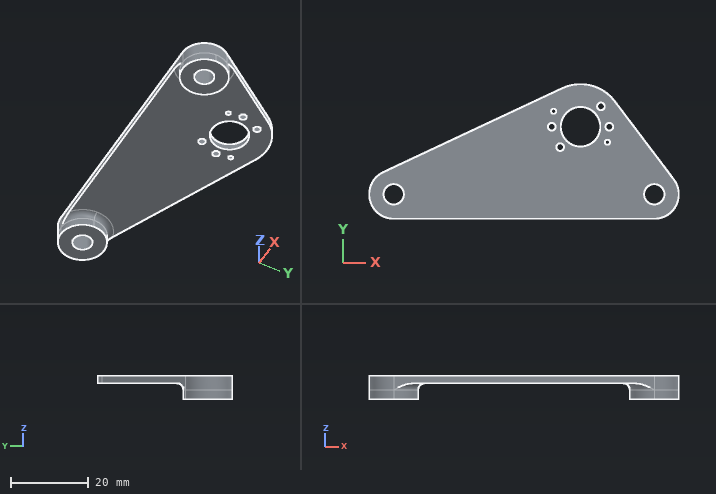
import cadquery as cq
import math

length = 80.0
height = 6.1
plate_thickness = 2.0
boss_diameter = 12.7
boss_bore = 5.2
fillet_radius = 1.6

hub_from_left_boss = 48.2
hub_rise = 17.4
hub_corner_radius = 11.0
hub_bore = 10.15

screw_diameter = 1.9
screw_circle_radius = 7.4
screw_angles = (0, 45, 180, 225)
pin_diameter = 1.3
pin_circle_radius = 8.0
pin_angles = (150, 330)

boss_radius = boss_diameter / 2
boss_x = length / 2 - boss_radius
left_boss = (-boss_x, 0)
right_boss = (boss_x, 0)
hub = (hub_from_left_boss - boss_x, hub_rise)
plate_bottom = height - plate_thickness


def polar_point(center, radius, angle):
    """Point at a given radius and angle (radians) from a centre."""
    return (center[0] + radius * math.cos(angle), center[1] + radius * math.sin(angle))


def tangent_normal(start, start_radius, end, end_radius):
    """Angle of the normal to the line touching the left side of two circles."""
    dx = end[0] - start[0]
    dy = end[1] - start[1]
    taper = math.asin((end_radius - start_radius) / math.hypot(dx, dy))
    return math.atan2(dy, dx) + math.pi / 2 + taper


def outline_prism():
    """Rounded triangle over the full height of the part."""
    left_normal = tangent_normal(left_boss, boss_radius, hub, hub_corner_radius)
    right_normal = tangent_normal(hub, hub_corner_radius, right_boss, boss_radius)
    return (
        cq.Workplane("XY")
        .moveTo(-boss_x, -boss_radius)
        .threePointArc((-boss_x - boss_radius, 0), polar_point(left_boss, boss_radius, left_normal))
        .lineTo(*polar_point(hub, hub_corner_radius, left_normal))
        .threePointArc(
            polar_point(hub, hub_corner_radius, (left_normal + right_normal) / 2),
            polar_point(hub, hub_corner_radius, right_normal),
        )
        .lineTo(*polar_point(right_boss, boss_radius, right_normal))
        .threePointArc((boss_x + boss_radius, 0), (boss_x, -boss_radius))
        .close()
        .extrude(height)
    )


def filleted_boss(center):
    """Round boss that flares into the underside of the plate."""
    flare_start = plate_bottom - fillet_radius
    flare_radius = boss_radius + fillet_radius
    arc_offset = fillet_radius * math.sqrt(0.5)
    return (
        cq.Workplane("XZ")
        .lineTo(boss_radius, 0)
        .lineTo(boss_radius, flare_start)
        .threePointArc(
            (flare_radius - arc_offset, flare_start + arc_offset),
            (flare_radius, plate_bottom),
        )
        .lineTo(flare_radius, height)
        .lineTo(0, height)
        .close()
        .revolve(360, (0, 0, 0), (0, 1, 0))
        .translate((center[0], center[1], 0))
    )


def drill(points, diameter):
    """Cutters for holes through the full height."""
    return cq.Workplane("XY").pushPoints(points).circle(diameter / 2).extrude(height)


def hub_ring(radius, angles):
    """Points on a circle around the hub, at angles in degrees."""
    return [polar_point(hub, radius, math.radians(angle)) for angle in angles]


relief = cq.Workplane("XY").box(2 * length, 2 * length, plate_bottom, centered=(True, True, False))
for boss_center in (left_boss, right_boss):
    relief = relief.cut(filleted_boss(boss_center), clean=False)
body = outline_prism().cut(relief, clean=False)

body = body.cut(drill([left_boss, right_boss], boss_bore), clean=False)
body = body.cut(drill([hub], hub_bore), clean=False)
body = body.cut(drill(hub_ring(screw_circle_radius, screw_angles), screw_diameter), clean=False)
body = body.cut(drill(hub_ring(pin_circle_radius, pin_angles), pin_diameter), clean=False)

result = body